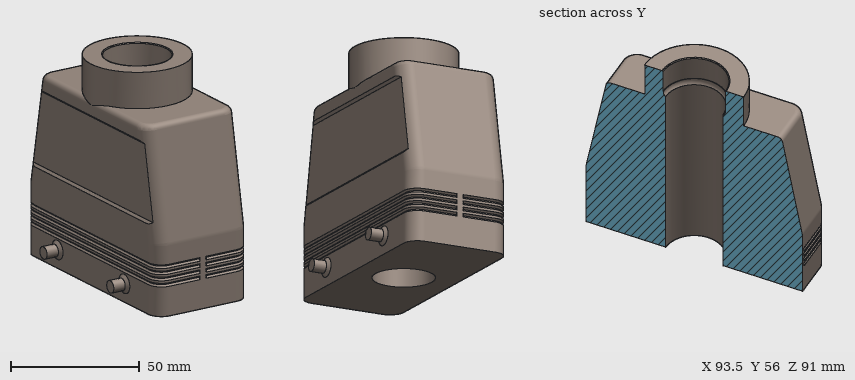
import cadquery as cq
import math

LENGTH = 93.5
PIN_SPAN = 56.0
TOTAL_HEIGHT = 91.0

WIDTH = 43.0
COLLAR_HEIGHT = 15.0
HOOD_HEIGHT = TOTAL_HEIGHT - COLLAR_HEIGHT
SKIRT_HEIGHT = 29.5
TOP_LENGTH = 75.7
BEND_RADIUS = 6.5
CORNER_RADIUS = 6.0
TOP_FILLET = 2.5

RECESS_DEPTH = 1.0
RECESS_BOTTOM = 37.0
RECESS_TOP = 69.75

GROOVE_COUNT = 4
GROOVE_DEPTH = 0.75
GROOVE_PITCH = 2.5
LOWEST_GROOVE_Z = 13.0
GROOVE_GAP = 2.8

PIN_SPACING = 47.3
PIN_Z = 7.6
PIN_RADIUS = 2.5
FOOT_RADIUS = 3.9
FOOT_HEIGHT = 1.2

COLLAR_RADIUS = 21.4
BORE_RADIUS = 13.5
BORE_DEPTH = 10.6
BORE_CHAMFER = 0.4
SEAT_RADIUS = 13.3
SEAT_DEPTH = 12.9
SEAT_FILLET = 2.5
PASSAGE_RADIUS = 12.3


def make_hood():
    """Extrude the end-tapered side profile, then round its bends, corners and top."""
    half_length = LENGTH / 2
    half_top = TOP_LENGTH / 2
    hood = (
        cq.Workplane("XZ")
        .polyline([
            (-half_length, 0),
            (half_length, 0),
            (half_length, SKIRT_HEIGHT),
            (half_top, HOOD_HEIGHT),
            (-half_top, HOOD_HEIGHT),
            (-half_length, SKIRT_HEIGHT),
        ])
        .close()
        .extrude(WIDTH / 2, both=True)
    )
    bend_edges = cq.selectors.BoxSelector(
        (-LENGTH, -WIDTH, SKIRT_HEIGHT - BEND_RADIUS), (LENGTH, WIDTH, SKIRT_HEIGHT + BEND_RADIUS)
    )
    hood = hood.edges("|Y").edges(bend_edges).fillet(BEND_RADIUS)
    corner_edges = hood.faces("<Y or >Y").edges("not(#Z)")
    hood = corner_edges.fillet(CORNER_RADIUS)
    return hood.faces(">Z").edges().fillet(TOP_FILLET)


def make_recess(side):
    """Bar removed from one long side; side is -1 for the front and +1 for the back."""
    face_y = side * WIDTH / 2
    floor_y = face_y - side * RECESS_DEPTH
    return (
        cq.Workplane("YZ")
        .polyline([
            (face_y, RECESS_BOTTOM),
            (floor_y, RECESS_BOTTOM + RECESS_DEPTH),
            (floor_y, RECESS_TOP - RECESS_DEPTH),
            (face_y, RECESS_TOP),
        ])
        .close()
        .extrude(LENGTH / 2, both=True)
    )


def make_groove(z):
    """V-shaped ring around the skirt centred at height z, split at both ends."""
    outline = cq.Sketch().rect(LENGTH, WIDTH).vertices().fillet(CORNER_RADIUS)
    bottom = cq.Workplane("XY").workplane(offset=z - GROOVE_DEPTH)
    slab = bottom.placeSketch(outline).extrude(2 * GROOVE_DEPTH)
    lower_core = bottom.placeSketch(outline).extrude(GROOVE_DEPTH, taper=45)
    upper_core = lower_core.mirror("XY", (0, 0, z))
    gap = cq.Workplane("XY").box(2 * LENGTH, GROOVE_GAP, 4 * GROOVE_DEPTH).translate((0, 0, z))
    return slab.cut(lower_core).cut(upper_core).cut(gap)


def make_pin(x):
    """Round bar through the hood, carrying a pin and its foot on each long side."""
    foot_y = WIDTH / 2
    shoulder_y = foot_y + FOOT_HEIGHT
    tip_y = PIN_SPAN / 2
    half_profile = [
        (0, 0),
        (FOOT_RADIUS, 0),
        (FOOT_RADIUS, foot_y),
        (PIN_RADIUS, shoulder_y),
        (PIN_RADIUS, tip_y),
        (0, tip_y),
    ]
    back = cq.Workplane("XY").polyline(half_profile).close().revolve(360, (0, 0), (0, 1))
    return back.union(back.mirror("XZ")).translate((x, 0, PIN_Z))


def make_collar():
    """Collar, sunk so that it meets the rounded long edges of the hood top."""
    sunk_depth = 2 * TOP_FILLET
    base = cq.Workplane("XY").workplane(offset=HOOD_HEIGHT - sunk_depth)
    return base.circle(COLLAR_RADIUS).extrude(COLLAR_HEIGHT + sunk_depth)


def make_bore():
    """Chamfered entry bore, a slightly narrower seat curving inward, and a through passage."""
    fillet_center_radius = SEAT_RADIUS - SEAT_FILLET
    fillet_height = math.sqrt(SEAT_FILLET**2 - (PASSAGE_RADIUS - fillet_center_radius) ** 2)
    seat_z = TOTAL_HEIGHT - SEAT_DEPTH
    bore_end_z = TOTAL_HEIGHT - BORE_DEPTH
    return (
        cq.Workplane("XZ")
        .moveTo(0, 0)
        .lineTo(PASSAGE_RADIUS, 0)
        .lineTo(PASSAGE_RADIUS, seat_z)
        .radiusArc((SEAT_RADIUS, seat_z + fillet_height), -SEAT_FILLET)
        .lineTo(SEAT_RADIUS, bore_end_z)
        .lineTo(BORE_RADIUS, bore_end_z)
        .lineTo(BORE_RADIUS, TOTAL_HEIGHT - BORE_CHAMFER)
        .lineTo(BORE_RADIUS + BORE_CHAMFER, TOTAL_HEIGHT)
        .lineTo(0, TOTAL_HEIGHT)
        .close()
        .revolve(360, (0, 0), (0, 1))
    )


result = make_hood()
for side in (-1, 1):
    result = result.cut(make_recess(side))
for index in range(GROOVE_COUNT):
    result = result.cut(make_groove(LOWEST_GROOVE_Z + index * GROOVE_PITCH))
for x in (-PIN_SPACING / 2, PIN_SPACING / 2):
    result = result.union(make_pin(x))
result = result.union(make_collar()).cut(make_bore())